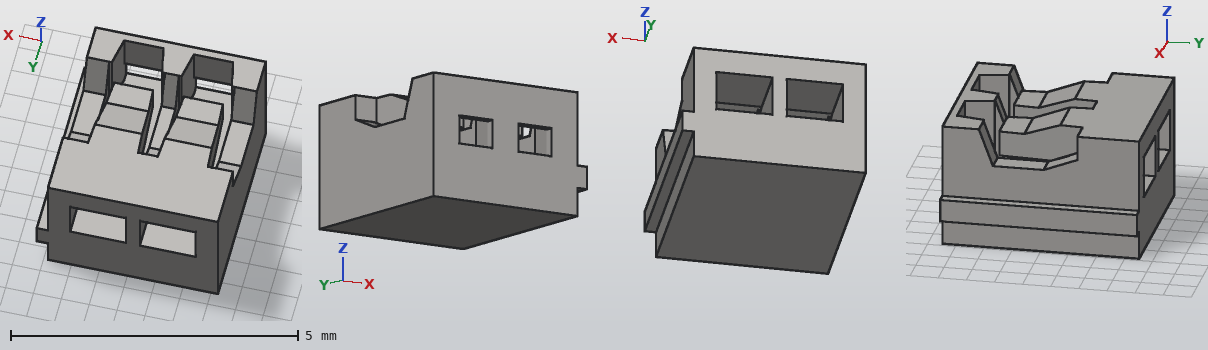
import cadquery as cq

BODY_X = 3.05
BODY_Y = 3.5
BODY_Z = 2.2

RIB_X = 0.2
RIB_BOTTOM = 0.5
RIB_TOP = 0.9

POLES = 2
PITCH = 1.25
WINDOW_WIDTH = 0.7
CHANNEL_WIDTH = 1.0
CHANNEL_FLOOR = 1.0
WINDOW_TOP = 1.5
FRONT_WALL = 0.15

RAMP_RUN = 0.65
RAMP_RISE = 0.235

TROUGH_FRONT = 0.65
TROUGH_BACK = 2.4
TROUGH_FLOOR = 1.53
LEDGE_RAMP_START = 1.8

TONGUE_TIP = 0.9
TONGUE_RAMP_END = 2.0
TONGUE_ROOT_WIDTH = 0.9
TONGUE_TIP_WIDTH = WINDOW_WIDTH
TONGUE_THICKNESS = 0.45
TONGUE_TOP = BODY_Z - RAMP_RISE

DUCT_CEILING = TONGUE_TOP - TONGUE_THICKNESS
DUCT_RAMP_START = 1.83

MOUTH_BACK_WIDTH = TONGUE_ROOT_WIDTH

POLE_CENTERS = [BODY_X / 2 + (i - (POLES - 1) / 2) * PITCH for i in range(POLES)]


def box(x0, x1, y0, y1, z0, z1):
    """Axis-aligned box between two opposite corners."""
    return cq.Workplane("XY").box(x1 - x0, y1 - y0, z1 - z0, centered=False).translate((x0, y0, z0))


def side_prism(points, x0, x1):
    """Prism with a (y, z) outline, running from x0 to x1."""
    return cq.Workplane("YZ").workplane(offset=x0).polyline(points).close().extrude(x1 - x0)


def plan_trapezoid(center, y0, width0, y1, width1, z0, z1):
    """Upright prism whose plan is a trapezoid symmetric about x = center."""
    points = [
        (center - width0 / 2, y0),
        (center + width0 / 2, y0),
        (center + width1 / 2, y1),
        (center - width1 / 2, y1),
    ]
    return cq.Workplane("XY").workplane(offset=z0).polyline(points).close().extrude(z1 - z0)


def housing():
    body = box(0, BODY_X, 0, BODY_Y, 0, BODY_Z)
    rib = box(BODY_X, BODY_X + RIB_X, 0, BODY_Y, RIB_BOTTOM, RIB_TOP)
    return body.union(rib)


def trough():
    return side_prism([
        (TROUGH_FRONT, BODY_Z),
        (TONGUE_TIP, TROUGH_FLOOR),
        (LEDGE_RAMP_START, TROUGH_FLOOR),
        (TROUGH_BACK, TROUGH_FLOOR + RAMP_RISE),
        (TROUGH_BACK, BODY_Z),
    ], 0, BODY_X)


def front_opening(center):
    """Window through the front wall, with the tapered mouth behind it that is open to the top."""
    half_width = WINDOW_WIDTH / 2
    window = box(center - half_width, center + half_width, 0, FRONT_WALL, CHANNEL_FLOOR, WINDOW_TOP)
    mouth = plan_trapezoid(
        center, FRONT_WALL, WINDOW_WIDTH, TROUGH_FRONT, MOUTH_BACK_WIDTH, CHANNEL_FLOOR, BODY_Z
    )
    return window.union(mouth)


def tongue_slot(center):
    """Clearance from the duct up to the top face, around the tongue."""
    half_width = CHANNEL_WIDTH / 2
    return box(center - half_width, center + half_width, TROUGH_FRONT, TROUGH_BACK, CHANNEL_FLOOR, BODY_Z)


def tongue(center):
    """Latch tongue with a ramped top; the duct trims its underside."""
    plan = plan_trapezoid(
        center, TONGUE_TIP, TONGUE_TIP_WIDTH, TROUGH_BACK, TONGUE_ROOT_WIDTH, DUCT_CEILING, BODY_Z
    )
    profile = side_prism([
        (TONGUE_TIP, DUCT_CEILING),
        (TONGUE_TIP, TONGUE_TOP),
        (TONGUE_RAMP_END - RAMP_RUN, TONGUE_TOP),
        (TONGUE_RAMP_END, BODY_Z),
        (TROUGH_BACK, BODY_Z),
        (TROUGH_BACK, DUCT_CEILING),
    ], 0, BODY_X)
    return plan.intersect(profile)


def duct(center):
    """Passage to the back face, its ceiling rising parallel to the tongue's ramp."""
    return side_prism([
        (TROUGH_FRONT, CHANNEL_FLOOR),
        (BODY_Y, CHANNEL_FLOOR),
        (BODY_Y, DUCT_CEILING + RAMP_RISE),
        (DUCT_RAMP_START + RAMP_RUN, DUCT_CEILING + RAMP_RISE),
        (DUCT_RAMP_START, DUCT_CEILING),
        (TROUGH_FRONT, DUCT_CEILING),
    ], center - CHANNEL_WIDTH / 2, center + CHANNEL_WIDTH / 2)


result = housing().cut(trough())
for pole_center in POLE_CENTERS:
    result = result.cut(front_opening(pole_center)).cut(tongue_slot(pole_center))
    result = result.union(tongue(pole_center)).cut(duct(pole_center))